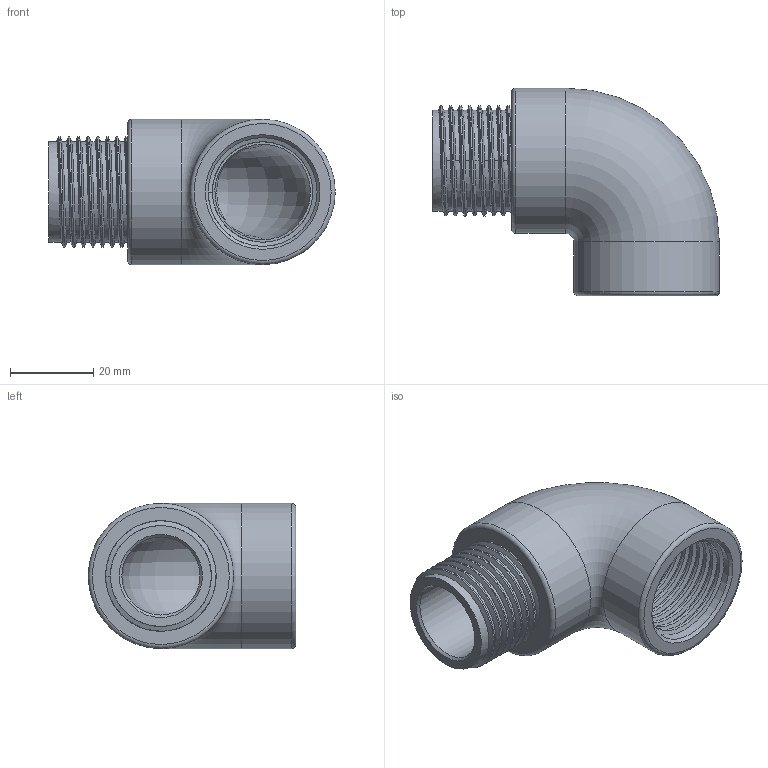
import cadquery as cq
import math


body_diameter = 35.0
body_radius = body_diameter / 2
leg_length = 32.5
crotch_radius = 2.0
bend_radius = body_radius + crotch_radius
rim_fillet = 1.0

pitch = 2.309
thread_start = 2.0
thread_turns = 7.7
tooth_root_sink = 0.2

spigot_length = 19.0
spigot_radius = 12.15
male_crest_radius = 13.3
male_tooth_base = 1.3
male_tooth_crest = 0.4

socket_depth = 19.0
socket_radius = 13.1
socket_mouth_chamfer = 0.7
female_crest_radius = 12.1
female_tooth_base = 1.6
female_tooth_crest = 0.8

male_bore_radius = 9.4
male_mouth_chamfer = 0.6
female_bore_radius = 11.5
bore_bend_radius = leg_length - socket_depth

spigot_end = leg_length + spigot_length


def arc_path(radius):
    """Quarter-turn centreline from (-radius, 0) to (0, -radius)."""
    shift = radius * (1 - math.sqrt(0.5))
    return (
        cq.Workplane("XY")
        .moveTo(-radius, 0)
        .threePointArc((-shift, -shift), (0, -radius))
    )


def section_x(x):
    """Workplane facing +X; its X direction is +Z, which keeps circle seams off the thread start."""
    return cq.Workplane(cq.Plane(origin=(x, 0, 0), xDir=(0, 0, 1), normal=(1, 0, 0)))


def section_y(y):
    """Workplane facing +Y."""
    return cq.Workplane(cq.Plane(origin=(0, y, 0), xDir=(1, 0, 0), normal=(0, 1, 0)))


def cylinder(section, radius, length):
    return section.circle(radius).extrude(length)


def mouth_cone(section, radius, chamfer):
    """45 degree lead-in that widens a bore by the chamfer at its mouth."""
    return section.circle(radius + chamfer).workplane(offset=chamfer).circle(radius).loft()


def thread(wall_radius, crest_radius, base_width, crest_width):
    """Right-handed helical ridge about +Z, first tooth centred on z = 0 at +X.

    A crest radius below the wall radius gives an internal thread.
    """
    flank_slope = (base_width - crest_width) / 2 / abs(crest_radius - wall_radius)
    sunk_width = base_width + 2 * tooth_root_sink * flank_slope
    outward = math.copysign(1, crest_radius - wall_radius)
    root_radius = wall_radius - outward * tooth_root_sink
    helix = cq.Wire.makeHelix(pitch, thread_turns * pitch, wall_radius)
    tooth = [
        (root_radius, -sunk_width / 2),
        (crest_radius, -crest_width / 2),
        (crest_radius, crest_width / 2),
        (root_radius, sunk_width / 2),
    ]
    return cq.Workplane("XZ").polyline(tooth).close().sweep(cq.Workplane(helix), isFrenet=True)


def placed(ridge, plane):
    """Move a thread from the global frame into the given plane's frame."""
    return cq.Workplane(ridge.val().moved(cq.Location(plane)))


def elbow_body():
    bend = section_x(-bend_radius).circle(body_radius).sweep(arc_path(bend_radius))
    straight = leg_length - bend_radius
    male_leg = cylinder(section_x(-leg_length), body_radius, straight)
    male_leg = male_leg.faces("<X").edges().fillet(rim_fillet)
    female_leg = cylinder(section_y(-leg_length), body_radius, straight)
    female_leg = female_leg.faces("<Y").edges().fillet(rim_fillet)
    return bend.union(male_leg).union(female_leg)


def spigot():
    return cylinder(section_x(-spigot_end), spigot_radius, spigot_length + rim_fillet)


def waterway():
    """Straight male bore, then a bend that widens up to the socket floor."""
    bore = cylinder(section_x(-spigot_end), male_bore_radius, spigot_end - bore_bend_radius)
    mouth = mouth_cone(section_x(-spigot_end), male_bore_radius, male_mouth_chamfer)
    bend_inlet = cq.Wire.makeCircle(
        male_bore_radius, cq.Vector(-bore_bend_radius, 0, 0), cq.Vector(1, 0, 0)
    )
    bend_outlet = cq.Wire.makeCircle(
        female_bore_radius, cq.Vector(0, -bore_bend_radius, 0), cq.Vector(0, -1, 0)
    )
    bend_path = arc_path(bore_bend_radius).wire().val()
    bend = cq.Solid.sweep_multi([bend_inlet, bend_outlet], bend_path)
    return bore.union(mouth).union(cq.Workplane(bend))


def socket():
    pocket = cylinder(section_y(-leg_length), socket_radius, socket_depth)
    return pocket.union(mouth_cone(section_y(-leg_length), socket_radius, socket_mouth_chamfer))


def male_thread():
    ridge = thread(spigot_radius, male_crest_radius, male_tooth_base, male_tooth_crest)
    start = (-spigot_end + thread_start, 0, 0)
    return placed(ridge, cq.Plane(origin=start, xDir=(0, 1, 0), normal=(1, 0, 0)))


def female_thread():
    ridge = thread(socket_radius, female_crest_radius, female_tooth_base, female_tooth_crest)
    start = (0, -leg_length + thread_start, 0)
    return placed(ridge, cq.Plane(origin=start, xDir=(-1, 0, 0), normal=(0, 1, 0)))


result = elbow_body().union(spigot())
result = result.cut(socket()).cut(waterway())
result = result.union(male_thread()).union(female_thread())